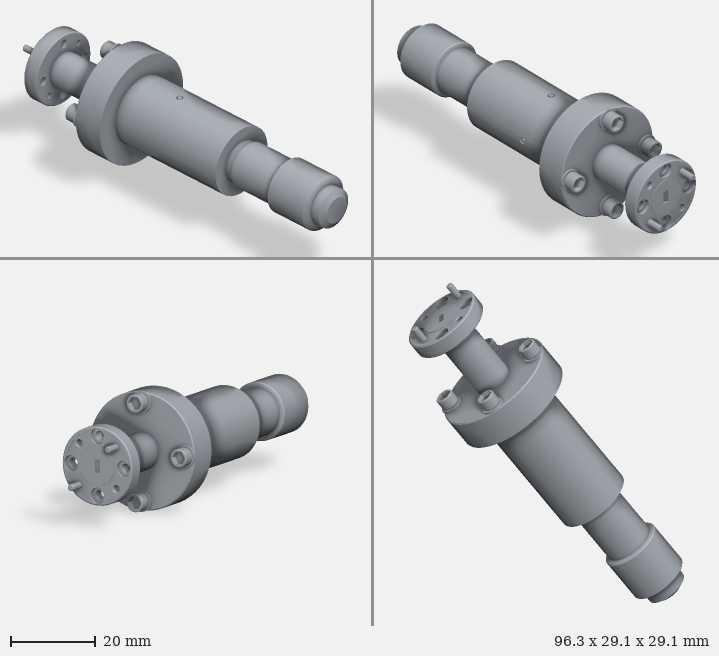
import cadquery as cq
import math


total_length = 96.3
small_flange_front = 3.9
small_flange_back = 7.9
large_flange_front = 25.0
flange_joint = 29.0
housing_flange_back = 33.1
housing_back = 65.5

small_flange_radius = 9.5
small_flange_chamfer = 0.3
face_groove_inner_radius = 4.6
face_groove_outer_radius = 8.6
face_groove_depth = 0.2
hole_circle_radius = 7.1
screw_hole_diameter = 2.3
screw_sink_diameter = 3.9
screw_sink_depth = 1.2
dowel_diameter = 1.6
dowel_chamfer = 0.2
dowel_hole_diameter = 1.6
dowel_hole_chamfer = 0.2
waveguide_width = 1.5
waveguide_height = 3.2
waveguide_depth = 0.6

tube_radius = 4.6
large_flange_radius = 14.4
large_flange_chamfer = 0.3

screw_circle_radius = 11.9
washer_diameter = 5.3
washer_thickness = 0.5
screw_head_radius = 2.2
screw_head_height = 3.0
screw_head_chamfer = 0.2
socket_across_corners = 3.7
socket_depth = 1.9

housing_radius = 9.0
set_screw_station = 45.5
set_screw_hole_diameter = 1.7
set_screw_diameter = 1.1
set_screw_hole_depth = 1.0

neck_radius = 5.5
neck_back = 66.95
shoulder_back = 68.5
sleeve_radius = 6.0
thimble_front = 80.05
thimble_face_depth = 0.3
thimble_front_chamfer = 0.3
thimble_radius = 7.1
thimble_round_front = 91.8
thimble_back = 92.8
thimble_round_radius = 2.7
knob_radius = 5.1
knob_chamfer_front = 95.3
knob_end_radius = 3.4


def cylinder(x_front, x_back, radius):
    """Cylinder on the X axis between two stations."""
    return cq.Workplane("YZ", origin=(x_front, 0, 0)).circle(radius).extrude(x_back - x_front)


def on_circle(radius, angles):
    """(Y, Z) points at the given angles, in degrees, on a circle around the X axis."""
    return [(radius * math.cos(math.radians(a)), radius * math.sin(math.radians(a))) for a in angles]


SQUARE_ANGLES = (0, 90, 180, 270)
DOWEL_ANGLES = (135, 315)
DOWEL_HOLE_ANGLES = (45, 225)


def make_dowel_hole():
    """Through hole with a chamfered mouth at the floor of the face groove."""
    mouth_front = small_flange_front + face_groove_depth
    hole = cylinder(small_flange_front, small_flange_back, dowel_hole_diameter / 2)
    mouth = (
        cq.Workplane("YZ", origin=(mouth_front, 0, 0))
        .circle(dowel_hole_diameter / 2 + dowel_hole_chamfer)
        .extrude(dowel_hole_chamfer, taper=45)
    )
    return hole.union(mouth)


def make_small_flange():
    flange = cylinder(small_flange_front, small_flange_back, small_flange_radius)
    flange = flange.faces("<X or >X").chamfer(small_flange_chamfer)

    front = cq.Workplane("YZ", origin=(small_flange_front, 0, 0))
    groove = front.circle(face_groove_outer_radius).circle(face_groove_inner_radius).extrude(face_groove_depth)
    flange = flange.cut(groove)

    thickness = small_flange_back - small_flange_front
    screw_points = on_circle(hole_circle_radius, SQUARE_ANGLES)
    screw_holes = front.pushPoints(screw_points).circle(screw_hole_diameter / 2).extrude(thickness)
    screw_sinks = front.pushPoints(screw_points).circle(screw_sink_diameter / 2).extrude(screw_sink_depth)
    flange = flange.cut(screw_holes).cut(screw_sinks)
    for y, z in on_circle(hole_circle_radius, DOWEL_HOLE_ANGLES):
        flange = flange.cut(make_dowel_hole().translate((0, y, z)))

    dowel = cylinder(0, small_flange_back, dowel_diameter / 2).faces("<X").chamfer(dowel_chamfer)
    for y, z in on_circle(hole_circle_radius, DOWEL_ANGLES):
        flange = flange.union(dowel.translate((0, y, z)))
    return flange


def make_cap_screw(y, z):
    """Washer and socket head standing on the front of the large flange."""
    washer_front = large_flange_front - washer_thickness
    head_front = washer_front - screw_head_height
    washer = cylinder(washer_front, large_flange_front, washer_diameter / 2)
    head = cylinder(head_front, washer_front, screw_head_radius)
    head = head.faces("<X or >X").chamfer(screw_head_chamfer)
    socket = (
        cq.Workplane("YZ", origin=(head_front, 0, 0))
        .polygon(6, socket_across_corners)
        .extrude(socket_depth)
    )
    return washer.union(head).cut(socket).translate((0, y, z))


def make_waveguide_section():
    tube = cylinder(small_flange_back, large_flange_front, tube_radius)
    large_flange = cylinder(large_flange_front, flange_joint, large_flange_radius)
    large_flange = large_flange.faces("<X").chamfer(large_flange_chamfer)
    body = make_small_flange().union(tube).union(large_flange)
    for y, z in on_circle(screw_circle_radius, SQUARE_ANGLES):
        body = body.union(make_cap_screw(y, z))
    waveguide = (
        cq.Workplane("YZ", origin=(small_flange_front, 0, 0))
        .rect(waveguide_width, waveguide_height)
        .extrude(waveguide_depth)
    )
    return body.cut(waveguide)


def make_housing():
    flange = cylinder(flange_joint, housing_flange_back, large_flange_radius)
    barrel = cylinder(housing_flange_back, housing_back, housing_radius)
    body = flange.union(barrel)

    hole_floor = cq.Workplane("XY", origin=(set_screw_station, 0, housing_radius - set_screw_hole_depth))
    hole = hole_floor.circle(set_screw_hole_diameter / 2).extrude(set_screw_hole_depth)
    set_screw = hole_floor.circle(set_screw_diameter / 2).extrude(set_screw_hole_depth)
    for angle in (0, -90):
        body = body.cut(hole.rotate((0, 0, 0), (1, 0, 0), angle))
        body = body.union(set_screw.rotate((0, 0, 0), (1, 0, 0), angle))
    return body


def make_micrometer():
    shoulder_length = shoulder_back - neck_back
    shoulder_rise = sleeve_radius - neck_radius
    shoulder_arc_radius = (shoulder_length**2 + shoulder_rise**2) / (2 * shoulder_rise)
    chamfer_front = thimble_front + thimble_face_depth
    profile = (
        cq.Workplane("XY")
        .moveTo(housing_back, 0)
        .lineTo(housing_back, neck_radius)
        .lineTo(neck_back, neck_radius)
        .radiusArc((shoulder_back, sleeve_radius), shoulder_arc_radius)
        .lineTo(thimble_front, sleeve_radius)
        .lineTo(chamfer_front, thimble_radius - thimble_front_chamfer)
        .lineTo(chamfer_front + thimble_front_chamfer, thimble_radius)
        .lineTo(thimble_round_front, thimble_radius)
        .radiusArc((thimble_back, knob_radius), thimble_round_radius)
        .lineTo(knob_chamfer_front, knob_radius)
        .lineTo(total_length, knob_end_radius)
        .lineTo(total_length, 0)
        .close()
    )
    return profile.revolve(360, (0, 0, 0), (1, 0, 0))


waveguide_section = make_waveguide_section()
housing = make_housing()
micrometer = make_micrometer()

result = cq.Compound.makeCompound([waveguide_section.val(), housing.val(), micrometer.val()])